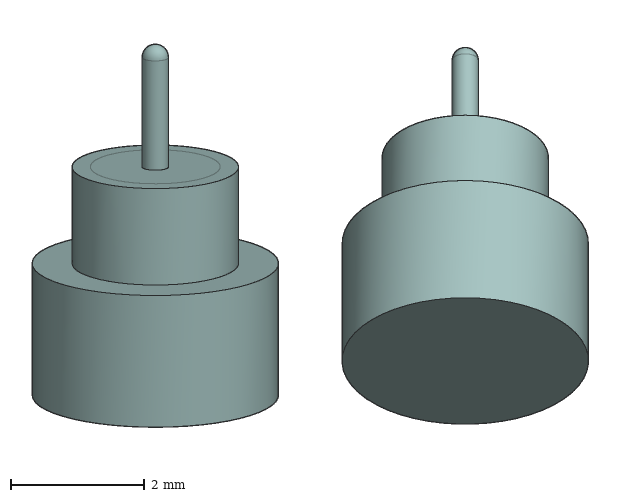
import cadquery as cq

base_diameter = 3.7
neck_diameter = 2.5
insulator_diameter = 1.95
pin_diameter = 0.4

total_height = 5.45
base_height = 2.05
neck_height = 1.5

shoulder_z = base_height
neck_top_z = shoulder_z + neck_height
tip_radius = pin_diameter / 2
pin_shank_length = total_height - neck_top_z - tip_radius


def cylinder(diameter, bottom_z, height):
    """Upright cylinder on the part axis."""
    return cq.Workplane("XY").workplane(offset=bottom_z).circle(diameter / 2).extrude(height)


def make_shell():
    """Stepped outer body, with the neck bored for the insulator."""
    base = cylinder(base_diameter, 0, base_height)
    neck = cylinder(neck_diameter, shoulder_z, neck_height)
    bore = cylinder(insulator_diameter, shoulder_z, neck_height)
    return base.union(neck).cut(bore)


def make_insulator():
    """Core that fills the neck bore and ends flush with the top of the neck."""
    return cylinder(insulator_diameter, shoulder_z, neck_height)


def make_pin():
    """Slender contact pin with a hemispherical tip."""
    shank = cylinder(pin_diameter, neck_top_z, pin_shank_length)
    tip_centre_z = neck_top_z + pin_shank_length
    tip = cq.Workplane("XY").sphere(tip_radius).translate((0, 0, tip_centre_z))
    return shank.union(tip)


result = make_shell().union(make_insulator(), clean=False).union(make_pin(), clean=False)